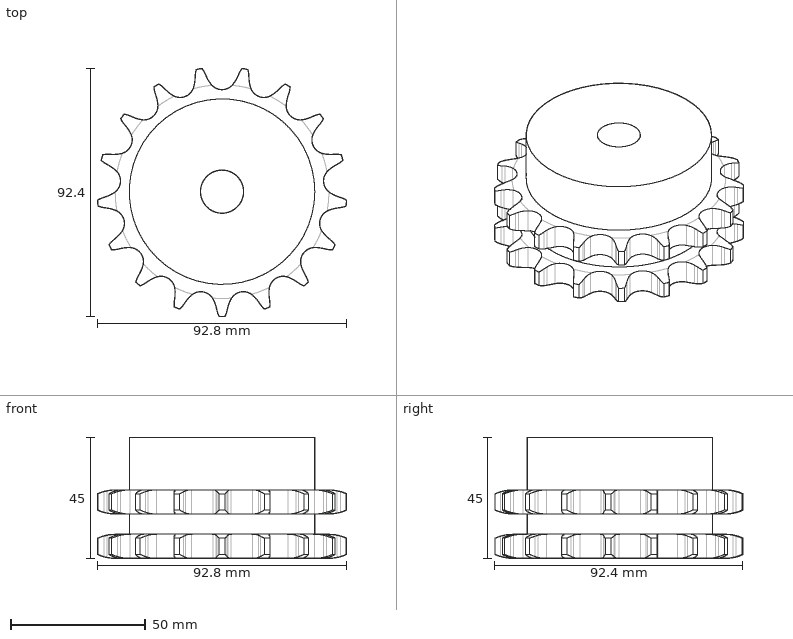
import cadquery as cq
import math


teeth = 17
chain_pitch = 15.9
roller_dia = 10.2
row_spacing = 16.5
rows = 2

outer_dia = 93.0
tooth_width = 9.0
hub_dia = 69.0
bore_dia = 16.0
height = 45.0

side_radius = 16.0
side_drop = 1.5

seat_ratio = 0.507
working_ratio = 1.307
working_reach = 0.8
topping_reach = 1.4
seat_half_angle = 55 - 60 / teeth
working_angle = 18 - 56 / teeth
topping_center_angle = 17 - 64 / teeth
topping_sweep = 25

seat_radius = seat_ratio * roller_dia
working_radius = working_ratio * roller_dia
topping_radius = roller_dia * (
    working_reach * math.cos(math.radians(working_angle))
    + topping_reach * math.cos(math.radians(topping_center_angle))
    - working_ratio
)
flank_length = roller_dia * (
    topping_reach * math.sin(math.radians(topping_center_angle))
    - working_reach * math.sin(math.radians(working_angle))
)

outer_radius = outer_dia / 2
pitch_radius = chain_pitch / (2 * math.sin(math.pi / teeth))
root_radius = pitch_radius - seat_radius
gap_step = 360 / teeth
first_gap_angle = 90


def step(point, heading, distance):
    """Point reached by moving a distance along a heading in degrees."""
    angle = math.radians(heading)
    return (point[0] + distance * math.cos(angle), point[1] + distance * math.sin(angle))


def arc_step(point, heading, radius, turn):
    """Middle point, end point and end heading of an arc; a positive turn goes left."""
    def chord_end(angle):
        chord = 2 * radius * math.sin(math.radians(abs(angle) / 2))
        return step(point, heading + angle / 2, chord)

    return chord_end(turn / 2), chord_end(turn), heading + turn


def mirrored(point):
    """Point reflected across the X axis."""
    return (point[0], -point[1])


def tooth_gap():
    """Cutter for one gap, symmetric about +X and running past the outer diameter."""
    root = (root_radius, 0)
    seat_mid, seat_end, heading = arc_step(root, 90, seat_radius, -seat_half_angle)
    work_mid, work_end, heading = arc_step(seat_end, heading, working_radius, -working_angle)
    flank_end = step(work_end, heading, flank_length)
    top_mid, top_end, heading = arc_step(flank_end, heading, topping_radius, topping_sweep)
    return (
        cq.Workplane("XY")
        .moveTo(*root)
        .threePointArc(seat_mid, seat_end)
        .threePointArc(work_mid, work_end)
        .lineTo(*flank_end)
        .threePointArc(top_mid, top_end)
        .lineTo(*mirrored(top_end))
        .threePointArc(mirrored(top_mid), mirrored(flank_end))
        .lineTo(*mirrored(work_end))
        .threePointArc(mirrored(work_mid), mirrored(seat_end))
        .threePointArc(mirrored(seat_mid), root)
        .close()
        .extrude(tooth_width)
    )


def toothed_disc():
    """One sprocket row: a turned disc with rounded rim sides and the gaps cut out."""
    side_sweep = math.degrees(math.acos(1 - side_drop / side_radius))
    face_radius = outer_radius - side_radius * math.sin(math.radians(side_sweep))
    top_mid, top_end, _ = arc_step((face_radius, tooth_width), 0, side_radius, -side_sweep)
    bottom_mid = (top_mid[0], tooth_width - top_mid[1])
    bottom_end = (top_end[0], tooth_width - top_end[1])
    disc = (
        cq.Workplane("XZ")
        .lineTo(0, tooth_width)
        .lineTo(face_radius, tooth_width)
        .threePointArc(top_mid, top_end)
        .lineTo(*bottom_end)
        .threePointArc(bottom_mid, (face_radius, 0))
        .close()
        .revolve(360, (0, 0, 0), (0, 1, 0))
    )
    gap = tooth_gap()
    for index in range(teeth):
        angle = first_gap_angle + index * gap_step
        disc = disc.cut(gap.rotate((0, 0, 0), (0, 0, 1), angle))
    return disc


def sprocket():
    """Hub carrying the toothed rows from the bottom face up, bored through."""
    body = cq.Workplane("XY").circle(hub_dia / 2).extrude(height)
    disc = toothed_disc()
    for row in range(rows):
        body = body.union(disc.translate((0, 0, row * row_spacing)))
    bore = cq.Workplane("XY").circle(bore_dia / 2).extrude(height)
    return body.cut(bore)


result = sprocket()